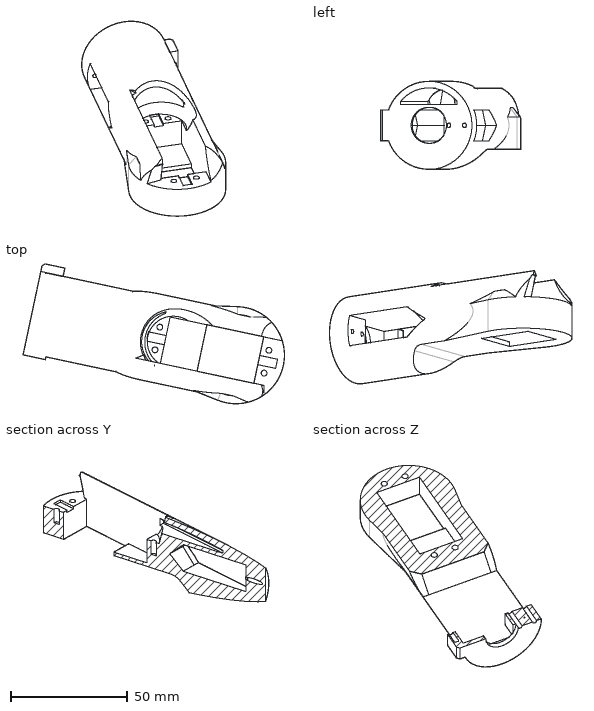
import cadquery as cq
import math

swing_angle = -12.0

body_diameter = 38.0
body_radius = body_diameter / 2
body_length = 112.7
underside_z = -10.4

head_center = 89.7
head_radius = 21.0
neck_start = (58.6, 15.8)
ledge_z = 3.5
shoulder_height = 4.2
shoulder_draft = 39.0

underside_chamfer_start = 35.5
underside_rise = math.radians(45)
underside_blend = 6.8

slot_start = 9.9
slot_straight_end = 40.6
slot_half_height = 6.6
slot_flare_start = 15.0
slot_flare_tip = 51.2

tab_top = 21.4
tab_chamfer = 1.1

bore_radius = 7.8
bore_depth = 2.3
recess_right_y = -6.3
recess_left_y = 17.6
wire_hole_offsets = (-8.7, -15.7)
wire_hole_diameter = 1.8
tab_hole_y = 19.7
tab_hole_depth = 5.6

duct_radius = 16.1
duct_floor_z = 9.0
duct_half_width = 12.4
duct_end = 56.3

servo_start = 58.6
servo_end = 99.7
servo_width = 20.4
servo_floor_z = -8.3
servo_floor_end = 74.8

scoop_bottom_center = 61.4
scoop_bottom_radius = 11.0
scoop_top_center = 64.2
scoop_top_radius = 17.1
scoop_notch_start = 47.8
scoop_notch_corner = (50.9, -8.1)

screw_spacing_x = 48.0
screw_spacing_y = 10.0
screw_diameter = 2.5
screw_depth = 6.8
relief_length = 7.9
relief_width = 4.0
relief_depth = 1.1

wall_end_top = (98.6, 16.3)
wall_end_middle = (103.3, 8.2)
wall_end_bottom = (108.8, ledge_z)
undercut_tip = (99.3, 13.5)
undercut_root = (96.7, ledge_z)

servo_half_width = servo_width / 2
servo_middle = (servo_start + servo_end) / 2
wall_top_z = math.sqrt(body_radius**2 - servo_half_width**2)
big = 3 * body_radius


def box(x0, x1, y0, y1, z0, z1):
    """Box between two opposite corners."""
    return cq.Workplane("XY").box(x1 - x0, y1 - y0, z1 - z0, centered=False).translate((x0, y0, z0))


def body():
    """Round bar ended by the head circle above the ledge, with the flat tab on its +Y side."""
    bar = cq.Workplane("YZ").circle(body_radius).extrude(body_length)
    head_limit = cq.Workplane("XY").circle(head_radius).extrude(2 * big).translate((head_center, 0, -big))
    bar = bar.intersect(head_limit.union(box(0, head_center, -big, big, -big, big)))
    bar = bar.cut(box(head_center, body_length, -big, big, -big, ledge_z))
    tab = box(0, slot_start, 0, tab_top, -slot_half_height, slot_half_height)
    tab = tab.faces(">Y").edges("<X").chamfer(tab_chamfer)
    return bar.union(tab)


def neck_touch_point():
    """Point where the neck side meets the head circle tangentially."""
    neck_x, neck_y = neck_start
    reach = math.hypot(head_center - neck_x, neck_y)
    touch_angle = math.atan2(neck_y, neck_x - head_center) - math.acos(head_radius / reach)
    return head_center + head_radius * math.cos(touch_angle), head_radius * math.sin(touch_angle)


def head():
    """Round head with a tangent neck, and shoulders that slope in to the round bar."""
    neck_x, neck_y = neck_start
    touch_x, touch_y = neck_touch_point()
    height = ledge_z - underside_z
    disc = cq.Workplane("XY", origin=(head_center, 0, underside_z)).circle(head_radius).extrude(height)
    neck = (
        cq.Workplane("XY", origin=(0, 0, underside_z))
        .polyline([(neck_x, -neck_y), (touch_x, -touch_y), (touch_x, touch_y), (neck_x, neck_y)])
        .close()
        .extrude(height)
    )
    shoulders = (
        cq.Workplane("XY", origin=(0, 0, ledge_z))
        .moveTo(neck_x, -neck_y)
        .lineTo(touch_x, -touch_y)
        .threePointArc((head_center + head_radius, 0), (touch_x, touch_y))
        .lineTo(neck_x, neck_y)
        .close()
        .extrude(shoulder_height, taper=shoulder_draft)
    )
    return disc.union(neck).union(shoulders)


def underside_cut():
    """Material below the flat underside, with a 45 degree rise blended into the flat."""
    blend_corner = underside_chamfer_start + underside_z + body_radius
    tangent_length = underside_blend * math.tan(underside_rise / 2)
    slope_step = tangent_length * math.sin(underside_rise)
    overshoot = body_radius / 4
    return (
        cq.Workplane("XZ")
        .moveTo(underside_chamfer_start - overshoot, -body_radius - overshoot)
        .lineTo(blend_corner - slope_step, underside_z - slope_step)
        .tangentArcPoint((blend_corner + tangent_length, underside_z), relative=False)
        .lineTo(body_length, underside_z)
        .lineTo(body_length, -body_radius - overshoot)
        .close()
        .extrude(big, both=True)
    )


def slot_points(tip):
    """Outline of the pointed end of the side slot."""
    return [
        (slot_straight_end - slot_half_height, slot_half_height),
        (slot_straight_end, slot_half_height),
        (tip, 0),
        (slot_straight_end, -slot_half_height),
        (slot_straight_end - slot_half_height, -slot_half_height),
    ]


def side_slot():
    """Slot right through the bar along Y, with a 45 degree point that flares at both mouths."""
    inner_tip = slot_straight_end + slot_half_height
    slot = box(slot_start, slot_straight_end, -big, big, -slot_half_height, slot_half_height)
    slot = slot.union(cq.Workplane("XZ").polyline(slot_points(inner_tip)).close().extrude(big, both=True))
    flare = (
        cq.Workplane("XZ", origin=(0, -slot_flare_start, 0))
        .polyline(slot_points(inner_tip))
        .close()
        .workplane(offset=body_radius - slot_flare_start)
        .polyline(slot_points(slot_flare_tip))
        .close()
        .loft(ruled=True)
    )
    return slot.union(flare).union(flare.mirror("XZ"))


def base_openings():
    """Bore, inner recess and wire holes from the base face into the side slot."""
    bore = cq.Workplane("YZ").circle(bore_radius).extrude(bore_depth)
    recess = box(bore_depth, slot_start, recess_right_y, recess_left_y, -slot_half_height, slot_half_height)
    wires = cq.Workplane("YZ").pushPoints([(y, 0) for y in wire_hole_offsets])
    tab_hole = cq.Workplane("YZ", origin=(slot_start - tab_hole_depth, tab_hole_y, 0))
    tab_hole = tab_hole.circle(wire_hole_diameter / 2).extrude(tab_hole_depth)
    return bore.union(recess).union(tab_hole).union(wires.circle(wire_hole_diameter / 2).extrude(slot_start))


def cable_duct():
    """Circle-segment duct from the base face to the scoop above the servo."""
    duct = cq.Workplane("YZ").circle(duct_radius).extrude(duct_end)
    return duct.intersect(box(0, duct_end, -duct_half_width, duct_half_width, duct_floor_z, big))


def servo_pocket():
    """Servo well, open below at its outer part, under a full-length trough for the flange."""
    y0, y1 = -servo_half_width, servo_half_width
    well = box(servo_start, servo_end, y0, y1, servo_floor_z, ledge_z)
    drop = box(servo_floor_end, servo_end, y0, y1, -big, ledge_z)
    trough = box(scoop_bottom_center, body_length, y0, y1, ledge_z, big)
    return well.union(drop).union(trough)


def scoop():
    """Leaning conical clearance above the inner ledge, stopped at the -Y wall of the trough."""
    lean = cq.Vector(scoop_top_center - scoop_bottom_center, 0, body_radius - ledge_z)
    bottom = cq.Vector(scoop_bottom_center, 0, ledge_z)
    flare = scoop_top_radius - scoop_bottom_radius
    overrun = 0.4
    cone = cq.Workplane(cq.Solid.makeCone(
        scoop_bottom_radius - overrun * flare,
        scoop_top_radius + overrun * flare,
        lean.Length * (1 + 2 * overrun),
        bottom - lean * overrun,
        lean,
    ))
    cone = cone.intersect(box(0, body_length, -servo_half_width, big, ledge_z, big))
    notch = (
        cq.Workplane("XY", origin=(0, 0, wall_top_z))
        .polyline([
            (scoop_notch_start, -servo_half_width),
            (servo_start, -servo_half_width),
            scoop_notch_corner,
        ])
        .close()
        .extrude(body_radius)
    )
    return cone.union(notch)


def flange_fixings():
    """Screw holes and relief recesses in the two ledges."""
    screws = (
        cq.Workplane("XY", origin=(servo_middle, 0, ledge_z - screw_depth))
        .rect(screw_spacing_x, screw_spacing_y, forConstruction=True)
        .vertices()
        .circle(screw_diameter / 2)
        .extrude(screw_depth)
    )
    relief = box(
        servo_start - relief_length, servo_end + relief_length,
        -relief_width / 2, relief_width / 2, ledge_z - relief_depth, ledge_z,
    )
    return screws.union(relief)


def wall_end_cut():
    """Curved slope that trims the ends of both trough walls down to the ledge."""
    return (
        cq.Workplane("XZ")
        .moveTo(*wall_end_top)
        .threePointArc(wall_end_middle, wall_end_bottom)
        .lineTo(body_length, ledge_z)
        .lineTo(body_length, wall_end_top[1])
        .close()
        .extrude(big, both=True)
    )


def undercut():
    """Backward-leaning cut under the tip of the -Y wall, in the final position."""
    lean = (
        cq.Workplane("XZ")
        .polyline([undercut_root, undercut_tip, (body_length, undercut_tip[1]), (body_length, ledge_z)])
        .close()
        .extrude(2 * big, both=True)
    )
    right_side = box(0, body_length, -big, 0, ledge_z, big)
    return lean.intersect(right_side.rotate((0, 0, 0), (0, 0, 1), swing_angle))


part = body().cut(underside_cut()).union(head())
for opening in (side_slot, base_openings, cable_duct, servo_pocket, scoop, flange_fixings):
    part = part.cut(opening())

result = part.rotate((0, 0, 0), (0, 0, 1), swing_angle).cut(wall_end_cut()).cut(undercut())